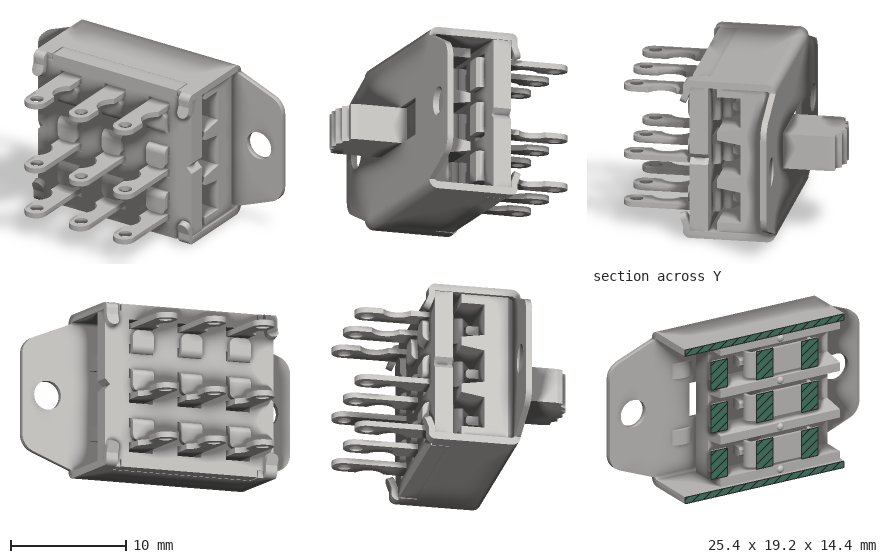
import cadquery as cq
import math


ear_length = 25.4
frame_length = 16.2
frame_height = 14.4
plate_thickness = 0.53
wall_thickness = 0.64
bend_radius = 1.6 / 2
inner_bend_radius = 0.25
ear_root_height = 12.85
ear_slope = 21.5
ear_corner_radius = 1.57
mount_hole_diameter = 2.55
mount_hole_spacing = 20.62
wall_end = -7.55
knob_slot_length = 9.2
knob_slot_height = 3.3
wall_inside = frame_height / 2 - wall_thickness

bump_spacing_x = 10.77
bump_spacing_z = 6.2
bump_length = 2.03
bump_height = 0.33
bump_width = 1.4

board_length = 16.0
board_front = -5.97
board_back = -7.6
board_thickness = board_front - board_back
board_key_length = 12.85
board_key_height = 14.35
wall_notch_length = 13.1
edge_notch_depth = 0.48

lug_width = 1.1
lug_thickness = 0.55
lug_straight_end = 6.12
lug_tip_length = 1.05
lug_tip_angle = 21.4
lug_tip_radius = 0.53

column_pitch = 4.6
row_pitch = 4.35
contact_width = 1.98
contact_thickness = 0.48
contact_low = -1.17
contact_high = 1.5
base_front = -5.33
base_chamfer = 0.25
terminal_end = -13.97
terminal_hole_center = -12.85
terminal_hole_diameter = 1.17
scallop_radius = 1.42
scallop_depth = 0.7
scallop_center = -10.41
tab_end = -0.5
tab_thickness = 0.55
tab_bend_radius = 0.6
tab_corner_radius = 0.53
board_slot_width = 2.25
board_slot_height = 0.85
board_slot_reach = contact_high

slide_offset = 1.78
carrier_length = 12.15
carrier_height = 13.05
carrier_back = -3.15
carrier_chamfer = 0.55
leg_end = -5.2
outer_leg_width = 0.81
inner_leg_root = 1.45
inner_leg_tip = 0.8
dome_height = 0.25
dome_width = 0.69
knob_width = 5.5
knob_height = 3.15
knob_shoulder = 4.05

contact_middle = (contact_low + contact_high) / 2
bridge_width = 2.34
bridge_half_span = 3.3
bridge_top_half_span = 1.02
bridge_knee = -4.5
bridge_thickness = 0.3
bridge_bend_radius = 0.64
window_height = 1.37
window_top = -3.75
window_bottom = -4.27
window_chamfer = 0.2
post_length = 7.1
post_width = 0.85
post_end = window_bottom
post_chamfer = 0.2

XZ_TOWARD_Y = cq.Plane(origin=(0, 0, 0), xDir=(-1, 0, 0), normal=(0, 1, 0))
YZ_TOWARD_X = cq.Plane(origin=(0, 0, 0), xDir=(0, 1, 0), normal=(1, 0, 0))


def block(x0, x1, y0, y1, z0, z1):
    """Box between opposite corners."""
    return cq.Workplane("XY").box(x1 - x0, y1 - y0, z1 - z0, centered=False).translate((x0, y0, z0))


def side_profile(points, x0, x1):
    """Closed (y, z) polygon extruded from x0 to x1."""
    return cq.Workplane(YZ_TOWARD_X).workplane(offset=x0).polyline(points).close().extrude(x1 - x0)


def top_profile(points, z0, z1):
    """Closed (x, y) polygon extruded from z0 to z1."""
    return cq.Workplane("XY").workplane(offset=z0).polyline(points).close().extrude(z1 - z0)


def flip(shape):
    """Half turn about the Y axis."""
    return shape.rotate((0, 0, 0), (0, 1, 0), 180)


def make_ears():
    root_x = frame_length / 2
    root_z = ear_root_height / 2
    end_x = ear_length / 2
    end_z = root_z - (end_x - root_x) * math.tan(math.radians(ear_slope))
    outline = [
        (-end_x, -end_z), (-root_x, -root_z), (root_x, -root_z), (end_x, -end_z),
        (end_x, end_z), (root_x, root_z), (-root_x, root_z), (-end_x, end_z),
    ]
    ears = cq.Workplane(XZ_TOWARD_Y).polyline(outline).close().extrude(-plate_thickness)
    return ears.edges("|Y and (<X or >X)").fillet(ear_corner_radius)


def make_channel():
    half_x = frame_length / 2
    half_z = frame_height / 2
    channel = block(-half_x, half_x, wall_end, 0, -half_z, half_z)
    channel = channel.edges("|X and >Y").fillet(bend_radius)
    inside = block(-half_x, half_x, wall_end, -plate_thickness, -wall_inside, wall_inside)
    inside = inside.edges("|X and >Y").fillet(inner_bend_radius)
    notch_half = wall_notch_length / 2
    notches = block(-notch_half, notch_half, wall_end, board_front, -half_z, half_z)
    return channel.cut(inside).cut(notches)


def make_lug():
    """Lug at the +X, +Z corner: bent over the board edge, with a tip that turns away from it."""
    x0 = frame_length / 2 - lug_width
    half_z = frame_height / 2
    outer = board_back - lug_thickness
    bend_z = half_z - lug_thickness
    angle = math.radians(lug_tip_angle)
    reach_y = lug_tip_length * math.sin(angle)
    reach_z = lug_tip_length * math.cos(angle)
    skew_z = lug_thickness * math.tan(angle / 2)
    tip_outer = (outer - reach_y, lug_straight_end - reach_z)
    tip_inner = (
        tip_outer[0] + lug_thickness * math.cos(angle),
        tip_outer[1] - lug_thickness * math.sin(angle),
    )
    diagonal = lug_thickness * math.sqrt(0.5)
    lug = (
        cq.Workplane(YZ_TOWARD_X).workplane(offset=x0)
        .moveTo(wall_end, wall_inside)
        .lineTo(wall_end, half_z)
        .lineTo(board_back, half_z)
        .threePointArc((board_back - diagonal, bend_z + diagonal), (outer, bend_z))
        .lineTo(outer, lug_straight_end)
        .lineTo(*tip_outer)
        .lineTo(*tip_inner)
        .lineTo(board_back, lug_straight_end - skew_z)
        .lineTo(board_back, wall_inside)
        .close()
        .extrude(lug_width)
    )
    tip_y = (tip_outer[0] + tip_inner[0]) / 2
    tip_z = (tip_outer[1] + tip_inner[1]) / 2
    for x in (x0, x0 + lug_width):
        corner = cq.selectors.NearestToPointSelector((x, tip_y, tip_z))
        lug = lug.edges(corner).fillet(lug_tip_radius)
    return lug


def make_bump():
    """Shallow cylindrical bump on the inner face of the plate, centred on X = Z = 0."""
    half = bump_length / 2
    return (
        cq.Workplane("XY").workplane(offset=-bump_width / 2)
        .moveTo(-half, -plate_thickness)
        .threePointArc((0, -plate_thickness - bump_height), (half, -plate_thickness))
        .close()
        .extrude(bump_width)
    )


def make_frame():
    frame = make_ears().union(make_channel())
    lug = make_lug()
    for one in (lug, lug.mirror("YZ"), lug.mirror("XY"), flip(lug)):
        frame = frame.union(one)
    holes = (
        cq.Workplane(XZ_TOWARD_Y)
        .pushPoints([(-mount_hole_spacing / 2, 0), (mount_hole_spacing / 2, 0)])
        .circle(mount_hole_diameter / 2)
        .extrude(-plate_thickness)
    )
    knob_slot = cq.Workplane(XZ_TOWARD_Y).rect(knob_slot_length, knob_slot_height).extrude(-plate_thickness)
    frame = frame.cut(holes).cut(knob_slot)
    for x in (-bump_spacing_x / 2, bump_spacing_x / 2):
        for z in (-bump_spacing_z / 2, bump_spacing_z / 2):
            frame = frame.union(make_bump().translate((x, 0, z)))
    return frame


def make_board():
    half_x = board_length / 2
    half_key = board_key_length / 2
    half_key_z = board_key_height / 2
    board = block(-half_x, half_x, board_back, board_front, -wall_inside, wall_inside)
    board = board.union(block(-half_key, half_key, board_back, board_front, -half_key_z, half_key_z))
    notch = (
        cq.Workplane(XZ_TOWARD_Y)
        .polyline([(half_x, edge_notch_depth), (half_x - edge_notch_depth, 0), (half_x, -edge_notch_depth)])
        .close()
        .extrude(-board_thickness)
        .translate((0, board_front, 0))
    )
    board = board.cut(notch).cut(notch.mirror("YZ"))
    slot_center = board_slot_reach - board_slot_height / 2
    slots = [
        (column * column_pitch, row * row_pitch + side * slot_center)
        for column in (-1, 0, 1) for row in (-1, 0, 1) for side in (-1, 1)
    ]
    cutter = (
        cq.Workplane(XZ_TOWARD_Y)
        .pushPoints(slots)
        .rect(board_slot_width, board_slot_height)
        .extrude(-board_thickness)
        .translate((0, board_front, 0))
    )
    return board.cut(cutter)


def make_fixed_contact():
    """Contact of one position: base on the board, solder terminal on -Z and holding tab on +Z."""
    half = contact_width / 2
    eye_y = terminal_end + half
    base = block(-half, half, board_front, base_front, contact_low, contact_high)
    base = base.edges("|Z and >Y").chamfer(base_chamfer)

    terminal = block(-half, half, eye_y, board_front, contact_low, contact_low + contact_thickness)
    flat = cq.Workplane("XY").workplane(offset=contact_low)
    terminal = terminal.union(flat.center(0, eye_y).circle(half).extrude(contact_thickness))
    terminal = terminal.cut(
        flat.center(0, terminal_hole_center).circle(terminal_hole_diameter / 2).extrude(contact_thickness)
    )
    scallop_x = -half + scallop_depth - scallop_radius
    terminal = terminal.cut(
        flat.center(scallop_x, scallop_center).circle(scallop_radius).extrude(contact_thickness)
    )

    tab_back = board_back - tab_thickness
    stem = block(-half, half, tab_back, board_front, contact_high - board_slot_height, contact_high)
    tab = block(-half, half, tab_back, board_back, tab_end, contact_high)
    tab = tab.edges("|Y and <Z").fillet(tab_corner_radius)
    tab = tab.union(stem).edges("|X and <Y and >Z").fillet(tab_bend_radius)
    return base.union(terminal).union(tab)


def make_carrier():
    half_x = carrier_length / 2
    half_z = carrier_height / 2
    carrier = block(-half_x, half_x, carrier_back, -plate_thickness, -half_z, half_z)
    carrier = carrier.edges("|Z and >Y").chamfer(carrier_chamfer)
    outer_center = half_z - outer_leg_width / 2
    inner_center = row_pitch / 2
    legs = [
        (-outer_center, outer_leg_width, outer_leg_width),
        (-inner_center, inner_leg_root, inner_leg_tip),
        (inner_center, inner_leg_root, inner_leg_tip),
        (outer_center, outer_leg_width, outer_leg_width),
    ]
    dome_radius = ((dome_width / 2) ** 2 + dome_height**2) / (2 * dome_height)
    for center, root, tip in legs:
        outline = [
            (carrier_back, center - root / 2), (leg_end, center - tip / 2),
            (leg_end, center + tip / 2), (carrier_back, center + root / 2),
        ]
        leg = side_profile(outline, -half_x, half_x)
        dome_y = leg_end - dome_height + dome_radius
        dome = cq.Workplane("XY").sphere(dome_radius).translate((0, dome_y, center))
        carrier = carrier.union(leg).union(dome)
    return carrier


def make_knob():
    """Knob with a toothed grip that rises toward its middle."""
    half = knob_width / 2
    right_grip = [
        (0.53, 5.23), (1.02, 4.78), (1.57, 5.0), (1.93, 4.5), (2.6, 4.55), (half, knob_shoulder),
    ]
    middle_valley = (0, 4.93)
    left_grip = [(-x, y) for x, y in reversed(right_grip)]
    outline = [(-half, carrier_back), *left_grip, middle_valley, *right_grip, (half, carrier_back)]
    return top_profile(outline, -knob_height / 2, knob_height / 2)


def make_bridge():
    """Moving contact of one row: strip rounded up into two legs that lean inward to the carrier."""
    z0 = contact_middle - bridge_width / 2
    z1 = contact_middle + bridge_width / 2

    def section(inset):
        low = bridge_half_span - inset
        high = bridge_top_half_span - inset
        outline = [
            (-low, base_front + inset), (low, base_front + inset), (low, bridge_knee),
            (high, carrier_back), (-high, carrier_back), (-low, bridge_knee),
        ]
        solid = top_profile(outline, z0, z1)
        return solid.edges("|Z and <Y").fillet(bridge_bend_radius - inset)

    bridge = section(0).cut(section(bridge_thickness))
    window = block(
        -bridge_half_span, bridge_half_span, window_bottom, window_top,
        contact_middle - window_height / 2, contact_middle + window_height / 2,
    ).edges("|X").chamfer(window_chamfer)
    post = block(
        -post_length / 2, post_length / 2, post_end, carrier_back,
        contact_middle - post_width / 2, contact_middle + post_width / 2,
    ).edges("|X and <Y").chamfer(post_chamfer)
    return bridge.cut(window).union(post)


def make_slider():
    slider = make_carrier().union(make_knob())
    for row in (-1, 0, 1):
        bridge = make_bridge()
        if row == 1:
            bridge = flip(bridge)
        slider = slider.union(bridge.translate((0, 0, row * row_pitch)))
    return slider.translate((slide_offset, 0, 0))


result = make_frame().union(make_board()).union(make_slider())
for row in (-1, 0, 1):
    for column in (-1, 0, 1):
        contact = make_fixed_contact()
        if row == 1:
            contact = flip(contact)
        result = result.union(contact.translate((column * column_pitch, 0, row * row_pitch)))